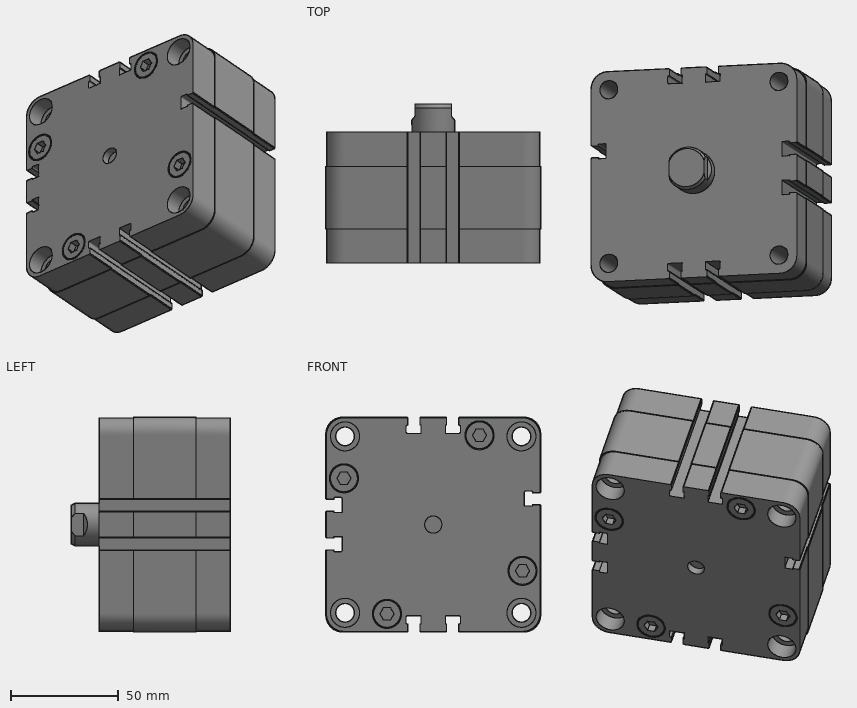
import cadquery as cq
import math


barrel_side = 100.0
cap_side = 99.2
corner_radius = 8.0
cap_length = 16.0
barrel_length = 29.0
barrel_start = cap_length
barrel_end = barrel_start + barrel_length
housing_length = barrel_end + cap_length

slot_pair_offset = 9.0
single_slot_offset = 12.0
slot_mouth_width = 5.5
slot_outer_undercut = 0.85
slot_inner_undercut = 0.55
slot_lip_level = 46.2
slot_floor_level = 42.4
slot_corner_radius = 0.6
slot_mouth_chamfer = 0.4
cutter_overhang = 1.0

rod_diameter = 20.0
rod_length = 13.0
rod_chamfer_length = 1.9
rod_chamfer_depth = 1.0
rod_flats_width = 17.0
rod_flats_length = 5.7
rod_shoulder_length = 1.9

mount_hole_offset = 41.0
mount_hole_diameter = 8.57
mount_counterbore_diameter = 13.5
mount_counterbore_depth = 8.5

screw_offset_long = 41.5
screw_offset_short = 21.5
screw_recess_diameter = 13.5
screw_head_diameter = 12.5
screw_groove_depth = 1.0
screw_hex_across_flats = 5.7
screw_hex_depth = 4.0

center_hole_diameter = 8.0
center_hole_depth = 4.0


def plane_at(y):
    """Sketch plane at the given Y whose axes are +X and +Z; extruding goes toward -Y."""
    return cq.Workplane("XZ", origin=(0, y, 0))


def slot_cutter(offset, side, start, length):
    """Undercut slot opening on the +Z side; its wider undercut faces away from the middle."""
    half_mouth = slot_mouth_width / 2
    inner = -half_mouth
    outer = half_mouth
    surface = side / 2
    top = surface + cutter_overhang
    flare = slot_mouth_chamfer + cutter_overhang
    neck_top = surface - slot_mouth_chamfer
    undercut = outer + slot_outer_undercut
    arc_step = slot_corner_radius * (1 - math.sqrt(0.5))
    cutter = (
        plane_at(start + length)
        .moveTo(inner - flare, top)
        .lineTo(inner, neck_top)
        .lineTo(inner, slot_lip_level)
        .lineTo(inner - slot_inner_undercut, slot_lip_level)
        .lineTo(inner - slot_inner_undercut, slot_floor_level)
        .lineTo(undercut - slot_corner_radius, slot_floor_level)
        .threePointArc(
            (undercut - arc_step, slot_floor_level + arc_step),
            (undercut, slot_floor_level + slot_corner_radius),
        )
        .lineTo(undercut, slot_lip_level - slot_corner_radius)
        .threePointArc(
            (undercut - arc_step, slot_lip_level - arc_step),
            (undercut - slot_corner_radius, slot_lip_level),
        )
        .lineTo(outer, slot_lip_level)
        .lineTo(outer, neck_top)
        .lineTo(outer + flare, top)
        .close()
        .extrude(length)
    )
    return cutter.translate((offset, 0, 0))


def slotted_block(side, start, length):
    """One length of the housing: a rounded square with sensor slots on all four sides."""
    block = (
        plane_at(start + length)
        .rect(side, side)
        .extrude(length)
        .edges("|Y")
        .fillet(corner_radius)
    )
    right_slot = slot_cutter(slot_pair_offset, side, start, length)
    slot_pair = right_slot.union(right_slot.mirror("YZ"))
    for turn in (0, 180, 270):
        block = block.cut(slot_pair.rotate((0, 0, 0), (0, 1, 0), turn))
    single_slot = slot_cutter(single_slot_offset, side, start, length).mirror("YZ")
    return block.cut(single_slot.rotate((0, 0, 0), (0, 1, 0), 90))


def make_housing():
    rear_cap = slotted_block(cap_side, 0, cap_length)
    barrel = slotted_block(barrel_side, barrel_start, barrel_length)
    front_cap = slotted_block(cap_side, barrel_end, cap_length)
    return rear_cap.union(barrel).union(front_cap)


def make_rod():
    """Piston rod with a tapered tip and two wrench flats that end in sloped shoulders."""
    radius = rod_diameter / 2
    half_flats = rod_flats_width / 2
    tip = housing_length + rod_length
    rod = (
        cq.Workplane("XY")
        .moveTo(0, barrel_end)
        .lineTo(radius, barrel_end)
        .lineTo(radius, tip - rod_chamfer_length)
        .lineTo(radius - rod_chamfer_depth, tip)
        .lineTo(0, tip)
        .close()
        .revolve(360, (0, 0, 0), (0, 1, 0))
    )
    shoulder = tip - rod_flats_length
    flat_depth = radius - half_flats
    flat_cutter = (
        cq.Workplane("XY")
        .moveTo(half_flats, tip)
        .lineTo(half_flats, shoulder)
        .lineTo(half_flats + flat_depth, shoulder - rod_shoulder_length)
        .lineTo(half_flats + flat_depth, tip)
        .close()
        .extrude(radius, both=True)
    )
    return rod.cut(flat_cutter).cut(flat_cutter.mirror("YZ"))


def hole(points, diameter, depth):
    """Round cutters that enter the -Y face at the given X, Z points."""
    return plane_at(0).pushPoints(points).circle(diameter / 2).extrude(-depth)


def cut_mounting_holes(body):
    points = [(x * mount_hole_offset, z * mount_hole_offset) for x in (-1, 1) for z in (-1, 1)]
    body = body.cut(hole(points, mount_hole_diameter, housing_length))
    return body.cut(hole(points, mount_counterbore_diameter, mount_counterbore_depth))


def cut_screws(body):
    """Flush screw heads: a ring gap around each head and a hexagon socket in it."""
    points = [
        (screw_offset_short, screw_offset_long),
        (screw_offset_long, -screw_offset_short),
        (-screw_offset_short, -screw_offset_long),
        (-screw_offset_long, screw_offset_short),
    ]
    gap = hole(points, screw_recess_diameter, screw_groove_depth)
    gap = gap.cut(hole(points, screw_head_diameter, screw_groove_depth))
    hex_across_corners = screw_hex_across_flats / math.cos(math.pi / 6)
    sockets = plane_at(0).pushPoints(points).polygon(6, hex_across_corners).extrude(-screw_hex_depth)
    return body.cut(gap).cut(sockets)


part = make_housing().union(make_rod())
part = cut_mounting_holes(part)
part = cut_screws(part)
result = part.cut(hole([(0, 0)], center_hole_diameter, center_hole_depth))